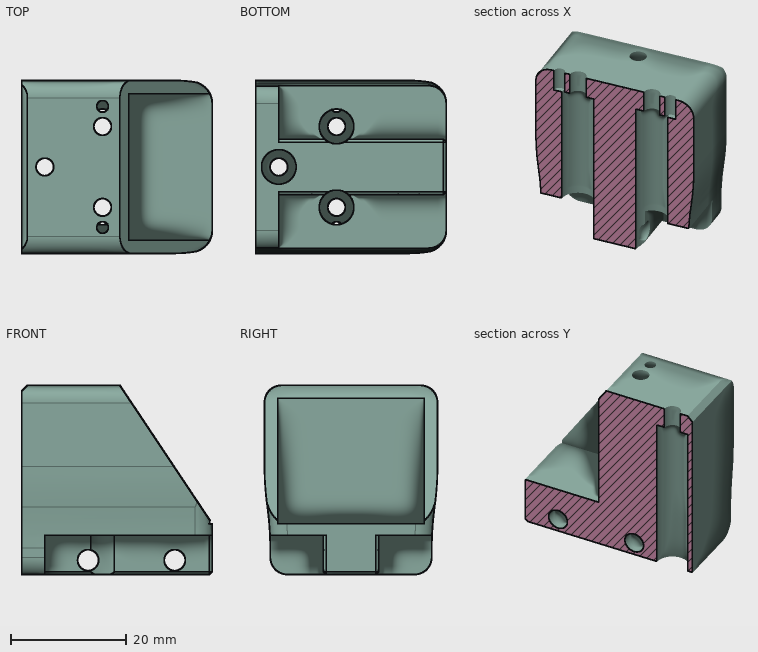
import cadquery as cq
import math

length = 33.0
width = 30.0
height = 32.8

base_width = 28.0
corner_radius = 3.0
waist_radius = 50.0
waist_top_z = 18.8
top_y = width / 2
base_y = base_width / 2

arc_step = (top_y - base_y) / 2
arc_height = math.sqrt(waist_radius**2 - (waist_radius - arc_step) ** 2)
waist_low_z = waist_top_z - 2 * arc_height

top_length = 17.0
slope_ratio = 1.5
front_chamfer = 1.0

front_wall = 4.0
tongue_width = 9.6
tongue_height = 6.8
tongue_chamfer = 0.5

pocket_start_x = 18.5
pocket_width = 25.4
floor_thickness = 2.0
pocket_floor_z = tongue_height + floor_thickness

cross_hole_diameter = 3.6
cross_hole_z = 2.5
cross_hole_positions = (11.5, 26.5)

screw_diameter = 3.0
screw_head_diameter = 6.0
screw_seat_thickness = 4.0
front_screw_x = 4.0
rear_screw_x = 14.0
rear_screw_y = 7.0
screw_positions = (
    (front_screw_x, 0.0),
    (rear_screw_x, rear_screw_y),
    (rear_screw_x, -rear_screw_y),
)
pin_diameter = 2.0
pin_y = 10.5
pin_depth = screw_seat_thickness
pin_positions = ((rear_screw_x, pin_y), (rear_screw_x, -pin_y))


def box(x_range, y_width, z_range):
    """Box centred on Y, spanning the given X and Z ranges."""
    x_size = x_range[1] - x_range[0]
    z_size = z_range[1] - z_range[0]
    block = cq.Workplane("XY").box(x_size, y_width, z_size, centered=(False, True, False))
    return block.translate((x_range[0], 0, z_range[0]))


def lower_arc_point(rise):
    """(Y, Z) on the +Y lower waist arc at a given rise above the straight base flank."""
    flare = waist_radius - math.sqrt(waist_radius**2 - rise**2)
    return (base_y + flare, waist_low_z + rise)


def upper_arc_point(drop):
    """(Y, Z) on the +Y upper waist arc at a given drop below the straight top flank."""
    inset = waist_radius - math.sqrt(waist_radius**2 - drop**2)
    return (top_y - inset, waist_top_z - drop)


def base_flank():
    """Open +Y half section: from the centre line along the base and up the straight flank."""
    return cq.Workplane("YZ").lineTo(base_y, 0).lineTo(base_y, waist_low_z)


def extrude_symmetric(half_section):
    """Close a +Y half section at the top, extrude it along X and mirror it."""
    half = half_section.lineTo(0, height).close().extrude(length)
    return half.union(half.mirror("XZ")).clean()


def make_body():
    """Waisted body with its four long edges rounded."""
    half_section = (
        base_flank()
        .threePointArc(lower_arc_point(arc_height / 2), lower_arc_point(arc_height))
        .threePointArc(upper_arc_point(arc_height / 2), (top_y, waist_top_z))
        .lineTo(top_y, height)
    )
    body = extrude_symmetric(half_section)
    long_edges = body.faces("<Z or >Z").edges("|X")
    return body.newObject(long_edges.vals()).fillet(corner_radius)


def make_rear_corner_envelope():
    """Flared prism rounding the rear corners: the lower waist arcs carry on to the top."""
    flare_height = height - waist_low_z
    half_section = base_flank().threePointArc(
        lower_arc_point(flare_height / 2), lower_arc_point(flare_height)
    )
    envelope = extrude_symmetric(half_section)
    corner_edges = envelope.faces(">X").edges("not |Y")
    return envelope.newObject(corner_edges.vals()).fillet(corner_radius)


def make_side_envelope():
    """Full-width prism with the front chamfer and the rear slope."""
    slope_end_z = height - slope_ratio * (length - top_length)
    outline = [
        (0, 0),
        (length, 0),
        (length, slope_end_z),
        (top_length, height),
        (front_chamfer, height),
        (0, height - front_chamfer),
    ]
    return cq.Workplane("XZ").polyline(outline).close().extrude(width / 2, both=True)


def make_tongue():
    """Tongue with its lower and rear edges chamfered; it runs into the front wall."""
    tongue = box((0, length), tongue_width, (0, tongue_height))
    edges = tongue.edges("(|X and <Z) or (>X and (not >Z))")
    return tongue.newObject(edges.vals()).chamfer(tongue_chamfer)


def vertical_holes(positions, diameter, bottom_z, top_z):
    """Vertical cylinders between two heights at each XY position."""
    plane = cq.Workplane("XY").workplane(offset=bottom_z)
    return plane.pushPoints(positions).circle(diameter / 2).extrude(top_z - bottom_z)


def make_cross_holes():
    """Cylinders along Y through the tongue."""
    centres = [(x, cross_hole_z) for x in cross_hole_positions]
    plane = cq.Workplane("XZ").pushPoints(centres)
    return plane.circle(cross_hole_diameter / 2).extrude(width / 2, both=True)


body = make_body()
body = body.intersect(make_side_envelope())
body = body.intersect(make_rear_corner_envelope())

body = body.cut(box((front_wall, length), width, (0, tongue_height)))
body = body.union(make_tongue())
body = body.cut(box((pocket_start_x, length), pocket_width, (pocket_floor_z, height)))

seat_z = height - screw_seat_thickness
body = body.cut(vertical_holes(screw_positions, screw_diameter, 0, height))
body = body.cut(vertical_holes(screw_positions, screw_head_diameter, 0, seat_z))
body = body.cut(vertical_holes(pin_positions, pin_diameter, height - pin_depth, height))
result = body.cut(make_cross_holes())